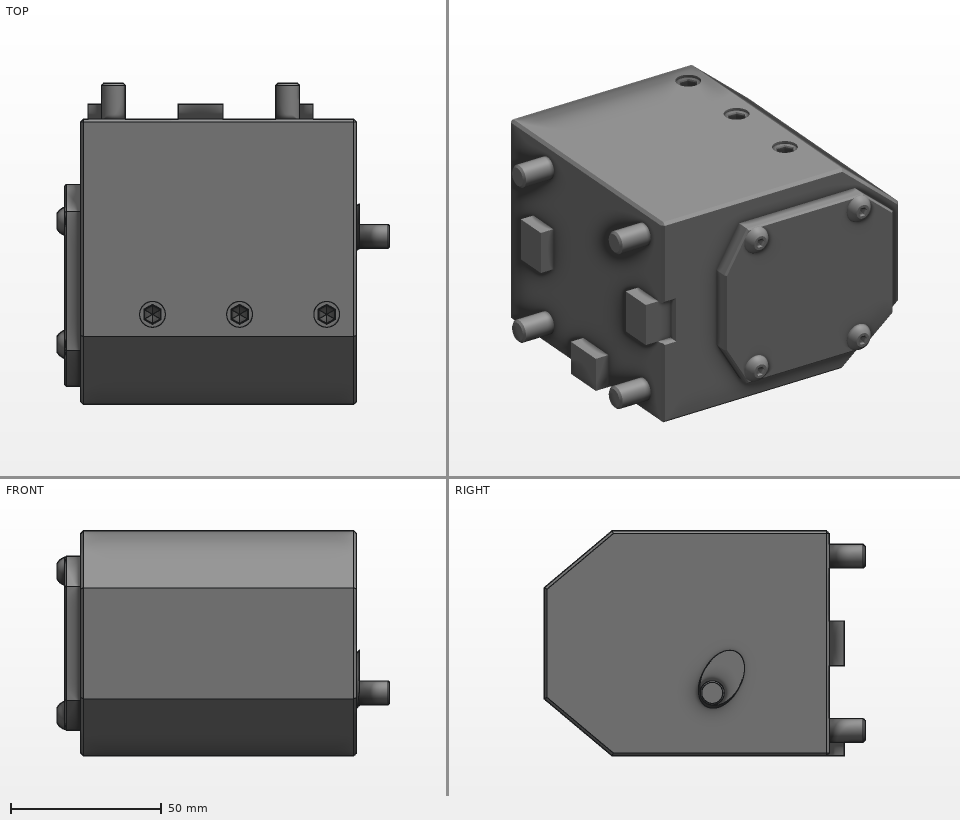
import cadquery as cq
import math


HOUSING_DEPTH = 95.0
HOUSING_HEIGHT = 75.0
HOUSING_LEFT = -40.0
HOUSING_RIGHT = 52.0
BEVEL_HEIGHT = 19.0
BEVEL_ANGLE = 40.0
BEVEL_DEPTH = BEVEL_HEIGHT / math.tan(math.radians(BEVEL_ANGLE))
EDGE_CHAMFER = 1.0
HALF_HEIGHT = HOUSING_HEIGHT / 2

COVER_THICKNESS = 5.25
COVER_BACK = -21.7
COVER_FRONT = -89.0
COVER_HALF_HEIGHT = 29.0
COVER_BACK_HALF_EDGE = 14.0
COVER_FRONT_HALF_EDGE = 19.0
COVER_BACK_BEVEL = 9.0
COVER_FRONT_BEVEL = 12.0
COVER_CHAMFER = 0.6

BUTTON_DIAMETER = 9.5
BUTTON_FLAT_DIAMETER = 5.0
BUTTON_HEIGHT = 2.63
BUTTON_SOCKET_FLATS = 3.0
BUTTON_SOCKET_DEPTH = 1.5
BUTTON_SOCKET_TIP_DEPTH = 0.7
BUTTON_Y_POSITIONS = (-34.0, -75.0)
BUTTON_Z_OFFSET = 24.0

BOLT_SPACING = 58.0
BOLT_DIAMETER = 8.0
BOLT_PROJECTION = 12.0
BOLT_TIP_CHAMFER = 0.75
KEY_WIDTH = 15.0
KEY_PROJECTION = 5.0
KEY_SEAT_DEPTH = 4.9
KEY_LENGTH = 12.0
KEY_OUTER_RADIUS = HALF_HEIGHT
KEY_ANGLES = (0, 90, 180)
SLOT_CHAMFER = 0.6

TOP_SCREW_SPACING = 29.0
TOP_SCREW_FIRST_X = -16.0
TOP_SCREW_COUNT = 3
TOP_SCREW_Y = -65.0
RECESS_DIAMETER = 8.6
RECESS_DEPTH = 1.0
SOCKET_MOUTH_FLATS = 5.8
SOCKET_FLATS = 5.2
SOCKET_TAPER_DEPTH = 0.5
SOCKET_DEPTH = 4.0
SOCKET_TIP_DEPTH = 1.0

SHAFT_DIAMETER = 8.0
SHAFT_LENGTH = 11.0
SHAFT_Y = -39.0
SHAFT_Z = -16.5
SHAFT_TIP_CHAMFER = 0.5
NOZZLE_DIAMETER = 13.0
NOZZLE_PROJECTION = 0.9
NOZZLE_Y = -35.7
NOZZLE_Z = -11.5
NOZZLE_SLOPE_Y = 0.56
NOZZLE_SLOPE_Z = 1.0
NOZZLE_ROOT = 5.0
NOZZLE_BLANK_LENGTH = 52.0

SOCKET_TIP_FLATS = 0.1

OVERLAP = 1.0


def hexagon_diameter(across_flats):
    """Corner-to-corner diameter of a hexagon."""
    return across_flats / math.cos(math.pi / 6)


def prism_along_x(points, start, length):
    """Closed (y, z) outline extruded in +X from the given station."""
    return cq.Workplane("YZ", origin=(start, 0, 0)).polyline(points).close().extrude(length)


def make_housing():
    shoulder = BEVEL_DEPTH - HOUSING_DEPTH
    front_half_edge = HALF_HEIGHT - BEVEL_HEIGHT
    outline = [
        (0, HALF_HEIGHT),
        (shoulder, HALF_HEIGHT),
        (-HOUSING_DEPTH, front_half_edge),
        (-HOUSING_DEPTH, -front_half_edge),
        (shoulder, -HALF_HEIGHT),
        (0, -HALF_HEIGHT),
    ]
    block = prism_along_x(outline, HOUSING_LEFT, HOUSING_RIGHT - HOUSING_LEFT)
    return block.faces("<X or >X or >Y").edges().chamfer(EDGE_CHAMFER)


def make_key_slot():
    """Cutter for the keyway open at the -X end, with its mouth edge broken."""
    key_end = -KEY_OUTER_RADIUS
    slot = (
        cq.Workplane("XY")
        .box(key_end - HOUSING_LEFT, KEY_SEAT_DEPTH, KEY_WIDTH, centered=(False, False, True))
        .translate((HOUSING_LEFT, -KEY_SEAT_DEPTH, 0))
    )
    mouth = (
        cq.Workplane("YZ", origin=(HOUSING_LEFT, 0, 0))
        .rect(2 * (KEY_SEAT_DEPTH + SLOT_CHAMFER), KEY_WIDTH + 2 * SLOT_CHAMFER)
        .workplane(offset=SLOT_CHAMFER)
        .rect(2 * KEY_SEAT_DEPTH, KEY_WIDTH)
        .loft(ruled=True)
    )
    return slot.union(mouth)


def make_key(angle):
    """Radial locating key, turned about Y from the +X direction."""
    return (
        cq.Workplane("XY")
        .box(KEY_LENGTH, KEY_SEAT_DEPTH + KEY_PROJECTION, KEY_WIDTH, centered=(False, False, True))
        .translate((KEY_OUTER_RADIUS - KEY_LENGTH, -KEY_SEAT_DEPTH, 0))
        .rotate((0, 0, 0), (0, 1, 0), angle)
    )


def make_mounting_bolts():
    return (
        cq.Workplane("XZ", origin=(0, BOLT_PROJECTION, 0))
        .rect(BOLT_SPACING, BOLT_SPACING, forConstruction=True)
        .vertices()
        .circle(BOLT_DIAMETER / 2)
        .extrude(BOLT_PROJECTION + OVERLAP)
        .faces(">Y")
        .edges()
        .chamfer(BOLT_TIP_CHAMFER)
    )


def make_cover():
    outline = [
        (COVER_BACK, COVER_BACK_HALF_EDGE),
        (COVER_BACK - COVER_BACK_BEVEL, COVER_HALF_HEIGHT),
        (COVER_FRONT + COVER_FRONT_BEVEL, COVER_HALF_HEIGHT),
        (COVER_FRONT, COVER_FRONT_HALF_EDGE),
        (COVER_FRONT, -COVER_FRONT_HALF_EDGE),
        (COVER_FRONT + COVER_FRONT_BEVEL, -COVER_HALF_HEIGHT),
        (COVER_BACK - COVER_BACK_BEVEL, -COVER_HALF_HEIGHT),
        (COVER_BACK, -COVER_BACK_HALF_EDGE),
    ]
    plate = prism_along_x(outline, HOUSING_LEFT - COVER_THICKNESS, COVER_THICKNESS + OVERLAP)
    return plate.faces("<X").edges().chamfer(COVER_CHAMFER)


def make_button_head(y, z):
    """Domed screw head with a pointed hexagon socket, seated on the cover."""
    rim = BUTTON_DIAMETER / 2
    flat = BUTTON_FLAT_DIAMETER / 2
    centre = (rim**2 - flat**2 - BUTTON_HEIGHT**2) / (2 * BUTTON_HEIGHT)
    dome_radius = math.hypot(rim, centre)
    middle_height = BUTTON_HEIGHT / 2
    middle_radius = math.sqrt(dome_radius**2 - (middle_height + centre) ** 2)
    head = (
        cq.Workplane("XY")
        .moveTo(OVERLAP, 0)
        .lineTo(OVERLAP, rim)
        .lineTo(0, rim)
        .threePointArc((-middle_height, middle_radius), (-BUTTON_HEIGHT, flat))
        .lineTo(-BUTTON_HEIGHT, 0)
        .close()
        .revolve(360, (0, 0, 0), (1, 0, 0))
    )
    socket = (
        cq.Workplane("YZ", origin=(-BUTTON_HEIGHT, 0, 0))
        .polygon(6, hexagon_diameter(BUTTON_SOCKET_FLATS))
        .extrude(BUTTON_SOCKET_DEPTH)
    )
    tip = (
        cq.Workplane("YZ", origin=(BUTTON_SOCKET_DEPTH - BUTTON_HEIGHT, 0, 0))
        .polygon(6, hexagon_diameter(BUTTON_SOCKET_FLATS))
        .workplane(offset=BUTTON_SOCKET_TIP_DEPTH)
        .polygon(6, hexagon_diameter(SOCKET_TIP_FLATS))
        .loft(ruled=True)
    )
    return head.cut(socket).cut(tip).translate((HOUSING_LEFT - COVER_THICKNESS, y, z))


def hexagon_loft(top, top_flats, height, bottom_flats):
    """Tapered hexagon going down from level top, with corners towards +Y and -Y."""
    return (
        cq.Workplane("XY", origin=(0, 0, top))
        .polygon(6, hexagon_diameter(top_flats))
        .workplane(offset=-height)
        .polygon(6, hexagon_diameter(bottom_flats))
        .loft(ruled=True)
        .rotate((0, 0, 0), (0, 0, 1), 90)
    )


def make_top_screw_cutter(x):
    """Round recess over a hexagon socket with a tapered mouth and a pointed bottom."""
    socket_top = HALF_HEIGHT - RECESS_DEPTH
    taper_bottom = socket_top - SOCKET_TAPER_DEPTH
    wall_height = SOCKET_DEPTH - SOCKET_TAPER_DEPTH
    wall_bottom = taper_bottom - wall_height
    recess = (
        cq.Workplane("XY", origin=(0, 0, socket_top))
        .circle(RECESS_DIAMETER / 2)
        .extrude(RECESS_DEPTH)
    )
    mouth = hexagon_loft(socket_top, SOCKET_MOUTH_FLATS, SOCKET_TAPER_DEPTH, SOCKET_FLATS)
    wall = hexagon_loft(taper_bottom, SOCKET_FLATS, wall_height, SOCKET_FLATS)
    tip = hexagon_loft(wall_bottom, SOCKET_FLATS, SOCKET_TIP_DEPTH, SOCKET_TIP_FLATS)
    return recess.union(mouth).union(wall).union(tip).translate((x, TOP_SCREW_Y, 0))


def make_shaft():
    return (
        cq.Workplane("YZ", origin=(HOUSING_RIGHT - OVERLAP, SHAFT_Y, SHAFT_Z))
        .circle(SHAFT_DIAMETER / 2)
        .extrude(SHAFT_LENGTH + OVERLAP)
        .faces(">X")
        .edges()
        .chamfer(SHAFT_TIP_CHAMFER)
    )


def make_nozzle():
    """Oblique cylinder leaving the +X end, trimmed parallel to that face."""
    face_x = HOUSING_RIGHT + NOZZLE_PROJECTION
    axis = cq.Vector(1, NOZZLE_SLOPE_Y, NOZZLE_SLOPE_Z).normalized()
    centre = cq.Vector(face_x, NOZZLE_Y, NOZZLE_Z)
    start = centre - axis * (NOZZLE_BLANK_LENGTH / 2)
    cylinder = cq.Solid.makeCylinder(NOZZLE_DIAMETER / 2, NOZZLE_BLANK_LENGTH, start, axis)
    slab = (
        cq.Workplane("YZ", origin=(HOUSING_RIGHT - NOZZLE_ROOT, NOZZLE_Y, NOZZLE_Z))
        .rect(NOZZLE_BLANK_LENGTH, NOZZLE_BLANK_LENGTH)
        .extrude(NOZZLE_ROOT + NOZZLE_PROJECTION)
    )
    return slab.intersect(cq.Workplane(obj=cylinder))


result = make_housing().cut(make_key_slot())

for key_angle in KEY_ANGLES:
    result = result.union(make_key(key_angle))

result = result.union(make_mounting_bolts())
result = result.union(make_cover())
for button_y in BUTTON_Y_POSITIONS:
    for button_z in (-BUTTON_Z_OFFSET, BUTTON_Z_OFFSET):
        result = result.union(make_button_head(button_y, button_z))

for index in range(TOP_SCREW_COUNT):
    screw_x = TOP_SCREW_FIRST_X + index * TOP_SCREW_SPACING
    result = result.cut(make_top_screw_cutter(screw_x))

result = result.union(make_nozzle()).union(make_shaft())